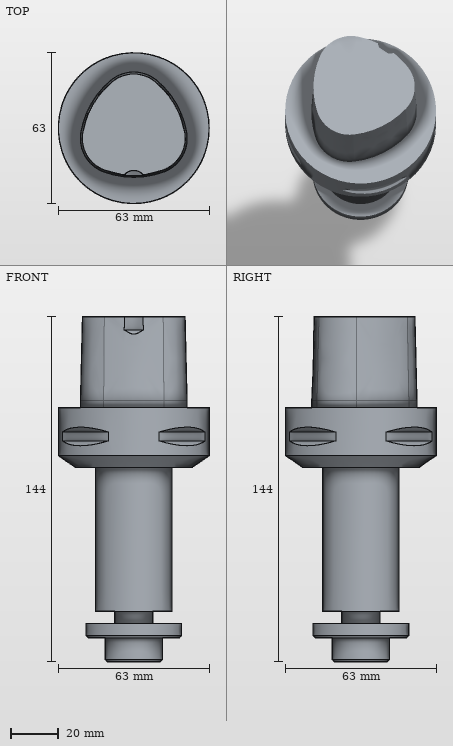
import cadquery as cq
import math

SHANK_HEIGHT = 38.0
SHANK_BASE_HEIGHT = 3.0
FLANGE_HEIGHT = 25.0
FLANGE_BEVEL_HEIGHT = 5.0
ARBOR_LENGTH = 60.0
NECK_LENGTH = 5.0
WASHER_HEIGHT = 6.0
PLUG_HEIGHT = 10.0

FLANGE_DIAMETER = 63.0
FLANGE_LOWER_DIAMETER = 48.5
ARBOR_DIAMETER = 32.0
NECK_DIAMETER = 16.0
WASHER_DIAMETER = 40.0
PLUG_DIAMETER = 24.0
END_CHAMFER = 1.0

LOBE_COUNT = 3
LOBE_CENTER_OFFSET = 8.5
LOBE_RADIUS_TOP = 14.1
SIDE_RADIUS_EXCESS = 21.1
SHANK_TAPER_OFFSET = 0.84

GROOVE_COUNT = 4
GROOVE_START_ANGLE = 45.0
GROOVE_FLOOR_DISTANCE = 28.4
GROOVE_FLOOR_HEIGHT = 3.6
GROOVE_WALL_ANGLE = 34.0
GROOVE_CENTER_Z = -12.0

NOTCH_RADIUS = 5.0
NOTCH_INNER_Y = -17.6
NOTCH_DEPTH = 5.5
NOTCH_CONE_SLOPE = 0.8


def polar_point(radius, angle_degrees):
    angle = math.radians(angle_degrees)
    return radius * math.cos(angle), radius * math.sin(angle)


def lobed_wire(lobe_radius, z):
    """Closed outline of tangent arcs with one lobe pointing along +Y."""
    lobe_step = 360.0 / LOBE_COUNT
    half_step = lobe_step / 2
    half_side_angle = math.degrees(
        math.asin(LOBE_CENTER_OFFSET * math.sin(math.radians(half_step)) / SIDE_RADIUS_EXCESS)
    )
    side_center_offset = SIDE_RADIUS_EXCESS * math.cos(
        math.radians(half_side_angle)
    ) - LOBE_CENTER_OFFSET * math.cos(math.radians(half_step))
    side_middle_distance = lobe_radius + SIDE_RADIUS_EXCESS - side_center_offset
    half_lobe_angle = half_step - half_side_angle

    def lobe_point(lobe_angle, turn):
        center_x, center_y = polar_point(LOBE_CENTER_OFFSET, lobe_angle)
        offset_x, offset_y = polar_point(lobe_radius, lobe_angle + turn)
        return center_x + offset_x, center_y + offset_y

    first_angle = 90.0
    outline = cq.Workplane("XY", origin=(0, 0, z)).moveTo(*lobe_point(first_angle, -half_lobe_angle))
    for index in range(LOBE_COUNT):
        lobe_angle = first_angle + index * lobe_step
        outline = outline.threePointArc(
            lobe_point(lobe_angle, 0), lobe_point(lobe_angle, half_lobe_angle)
        )
        outline = outline.threePointArc(
            polar_point(side_middle_distance, lobe_angle + half_step),
            lobe_point(lobe_angle + lobe_step, -half_lobe_angle),
        )
    return outline.close().val()


def make_shank():
    base_radius = LOBE_RADIUS_TOP + SHANK_TAPER_OFFSET
    base_bottom = lobed_wire(base_radius, 0)
    base = cq.Solid.extrudeLinear(base_bottom, [], cq.Vector(0, 0, SHANK_BASE_HEIGHT))
    taper = cq.Solid.makeLoft(
        [lobed_wire(base_radius, SHANK_BASE_HEIGHT), lobed_wire(LOBE_RADIUS_TOP, SHANK_HEIGHT)], True
    )
    return cq.Workplane(obj=base).union(cq.Workplane(obj=taper))


def make_turned_body():
    flange_radius = FLANGE_DIAMETER / 2
    arbor_radius = ARBOR_DIAMETER / 2
    neck_radius = NECK_DIAMETER / 2
    washer_radius = WASHER_DIAMETER / 2
    plug_radius = PLUG_DIAMETER / 2
    flange_bottom = -FLANGE_HEIGHT
    arbor_bottom = flange_bottom - ARBOR_LENGTH
    washer_top = arbor_bottom - NECK_LENGTH
    washer_bottom = washer_top - WASHER_HEIGHT
    plug_bottom = washer_bottom - PLUG_HEIGHT
    profile = [
        (0, 0),
        (flange_radius, 0),
        (flange_radius, flange_bottom + FLANGE_BEVEL_HEIGHT),
        (FLANGE_LOWER_DIAMETER / 2, flange_bottom),
        (arbor_radius, flange_bottom),
        (arbor_radius, arbor_bottom),
        (neck_radius, arbor_bottom),
        (neck_radius, washer_top),
        (washer_radius, washer_top),
        (washer_radius, washer_bottom + END_CHAMFER),
        (washer_radius - END_CHAMFER, washer_bottom),
        (plug_radius, washer_bottom),
        (plug_radius, plug_bottom + END_CHAMFER),
        (plug_radius - END_CHAMFER, plug_bottom),
        (0, plug_bottom),
    ]
    return cq.Workplane("XZ").polyline(profile).close().revolve(360, (0, 0, 0), (0, 1, 0))


def make_groove_cutter(angle):
    """Straight trapezoidal bar that flares outward from the groove floor."""
    outer_distance = FLANGE_DIAMETER / 2
    flare = (outer_distance - GROOVE_FLOOR_DISTANCE) * math.tan(math.radians(GROOVE_WALL_ANGLE))
    inner_half = GROOVE_FLOOR_HEIGHT / 2
    outer_half = inner_half + flare
    section = [
        (GROOVE_FLOOR_DISTANCE, GROOVE_CENTER_Z - inner_half),
        (outer_distance, GROOVE_CENTER_Z - outer_half),
        (outer_distance, GROOVE_CENTER_Z + outer_half),
        (GROOVE_FLOOR_DISTANCE, GROOVE_CENTER_Z + inner_half),
    ]
    bar = cq.Workplane("XZ").polyline(section).close().extrude(FLANGE_DIAMETER / 2, both=True)
    return bar.rotate((0, 0, 0), (0, 0, 1), angle)


def make_notch_cutter():
    """Vertical round cutter with a conical tip, centred outside the shank."""
    floor_z = SHANK_HEIGHT - NOTCH_DEPTH
    tip_z = floor_z - NOTCH_RADIUS * NOTCH_CONE_SLOPE
    profile = [
        (0, SHANK_HEIGHT),
        (NOTCH_RADIUS, SHANK_HEIGHT),
        (NOTCH_RADIUS, floor_z),
        (0, tip_z),
    ]
    cutter = cq.Workplane("XZ").polyline(profile).close().revolve(360, (0, 0, 0), (0, 1, 0))
    return cutter.translate((0, NOTCH_INNER_Y - NOTCH_RADIUS, 0))


result = make_turned_body().union(make_shank())
for groove_index in range(GROOVE_COUNT):
    groove_angle = GROOVE_START_ANGLE + groove_index * 360.0 / GROOVE_COUNT
    result = result.cut(make_groove_cutter(groove_angle))
result = result.cut(make_notch_cutter())